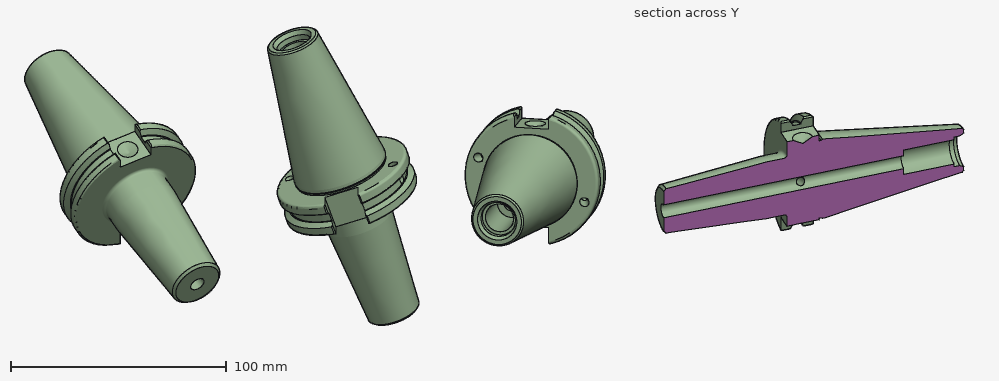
import cadquery as cq
import math

TOTAL_LENGTH = 148.2

GAUGE_X = 68.3
GAUGE_RADIUS = 22.2
TAPER_RATE = 7 / 24
TAPER_END_CHAMFER = 0.7

GAUGE_BAND_LENGTH = 1.5
NECK_RADIUS = 43.6 / 2
NECK_CHAMFER_LENGTH = 0.7

FLANGE_X = 71.3
FLANGE_END_X = 87.3
FLANGE_RADIUS = 63.6 / 2
FLANGE_FRONT_FILLET = 1.3
FLANGE_BACK_FILLET = 0.9
GROOVE_X = 79.5
GROOVE_RADIUS = 28.5
GROOVE_FLOOR_WIDTH = 4.0
GROOVE_MOUTH_WIDTH = 7.1
GROOVE_HALF_ANGLE = 30.0

NOSE_RADIUS = 32.0 / 2
NOSE_FILLET = 1.5
NOSE_CONE_X = 97.5
NOSE_END_RADIUS = 12.5
NOSE_END_CHAMFER = 1.2

BORE_DIAMETER = 7.0
TAPPING_DIAMETER = 13.3
TAPPING_DEPTH = 29.6
COUNTERBORE_DIAMETER = 16.3
COUNTERBORE_DEPTH = 4.7
MOUTH_DIAMETER = 18.7
MOUTH_DEPTH = 2.1

SLOT_WIDTH = 16.2
SLOT_CHAMFER = 0.67
TOP_SLOT_FLOOR = 24.9
BOTTOM_SLOT_FLOOR = 22.5

DIMPLE_DIAMETER = 9.5
DIMPLE_POINT_ANGLE = 120.0

INCLINED_COOLANT_DIAMETER = 4.2
RADIAL_COOLANT_DIAMETER = 4.0
COOLANT_RADIUS = 26.8
COOLANT_TILT = 20.0
COOLANT_ANGLES = (20.0, 200.0)


def turned_body():
    """Outer profile revolved about X."""
    taper_radius = GAUGE_RADIUS - GAUGE_X * TAPER_RATE / 2
    chamfer_radius = taper_radius + TAPER_END_CHAMFER * TAPER_RATE / 2
    band_end = GAUGE_X + GAUGE_BAND_LENGTH
    wall_run = (GROOVE_MOUTH_WIDTH - GROOVE_FLOOR_WIDTH) / 2
    wall_drop = wall_run / math.tan(math.radians(GROOVE_HALF_ANGLE))
    wall_radius = FLANGE_RADIUS - wall_drop
    nose_slope = (NOSE_RADIUS - NOSE_END_RADIUS) / (TOTAL_LENGTH - NOSE_CONE_X)
    nose_chamfer_radius = NOSE_END_RADIUS + NOSE_END_CHAMFER * nose_slope
    profile = (
        cq.Workplane("XY")
        .lineTo(0, taper_radius - TAPER_END_CHAMFER)
        .lineTo(TAPER_END_CHAMFER, chamfer_radius)
        .lineTo(GAUGE_X, GAUGE_RADIUS)
        .lineTo(band_end, GAUGE_RADIUS)
        .lineTo(band_end + NECK_CHAMFER_LENGTH, NECK_RADIUS)
        .lineTo(FLANGE_X, NECK_RADIUS)
        .lineTo(FLANGE_X, FLANGE_RADIUS - FLANGE_FRONT_FILLET)
        .radiusArc((FLANGE_X + FLANGE_FRONT_FILLET, FLANGE_RADIUS), FLANGE_FRONT_FILLET)
        .lineTo(GROOVE_X - GROOVE_MOUTH_WIDTH / 2, FLANGE_RADIUS)
        .lineTo(GROOVE_X - GROOVE_FLOOR_WIDTH / 2, wall_radius)
        .lineTo(GROOVE_X - GROOVE_FLOOR_WIDTH / 2, GROOVE_RADIUS)
        .lineTo(GROOVE_X + GROOVE_FLOOR_WIDTH / 2, GROOVE_RADIUS)
        .lineTo(GROOVE_X + GROOVE_FLOOR_WIDTH / 2, wall_radius)
        .lineTo(GROOVE_X + GROOVE_MOUTH_WIDTH / 2, FLANGE_RADIUS)
        .lineTo(FLANGE_END_X - FLANGE_BACK_FILLET, FLANGE_RADIUS)
        .radiusArc((FLANGE_END_X, FLANGE_RADIUS - FLANGE_BACK_FILLET), FLANGE_BACK_FILLET)
        .lineTo(FLANGE_END_X, NOSE_RADIUS + NOSE_FILLET)
        .radiusArc((FLANGE_END_X + NOSE_FILLET, NOSE_RADIUS), -NOSE_FILLET)
        .lineTo(NOSE_CONE_X, NOSE_RADIUS)
        .lineTo(TOTAL_LENGTH - NOSE_END_CHAMFER, nose_chamfer_radius)
        .lineTo(TOTAL_LENGTH, NOSE_END_RADIUS - NOSE_END_CHAMFER)
        .lineTo(TOTAL_LENGTH, 0)
        .close()
    )
    return profile.revolve(360, (0, 0, 0), (1, 0, 0))


def central_bore():
    """Through bore with threaded length, counterbore and conical mouth."""
    profile = (
        cq.Workplane("XY")
        .lineTo(0, MOUTH_DIAMETER / 2)
        .lineTo(MOUTH_DEPTH, COUNTERBORE_DIAMETER / 2)
        .lineTo(COUNTERBORE_DEPTH, COUNTERBORE_DIAMETER / 2)
        .lineTo(COUNTERBORE_DEPTH, TAPPING_DIAMETER / 2)
        .lineTo(TAPPING_DEPTH, TAPPING_DIAMETER / 2)
        .lineTo(TAPPING_DEPTH, BORE_DIAMETER / 2)
        .lineTo(TOTAL_LENGTH, BORE_DIAMETER / 2)
        .lineTo(TOTAL_LENGTH, 0)
        .close()
    )
    return profile.revolve(360, (0, 0, 0), (1, 0, 0))


def drive_slot(floor, side):
    """Slot across the flange with chamfered mouth; side is +1 for +Z and -1 for -Z."""
    half = SLOT_WIDTH / 2
    rim = math.sqrt(FLANGE_RADIUS**2 - (half + SLOT_CHAMFER) ** 2)
    chamfer_start = rim - SLOT_CHAMFER
    outside = FLANGE_RADIUS + 1.5
    flare = half + outside - chamfer_start
    outline = [
        (-half, side * floor),
        (half, side * floor),
        (half, side * chamfer_start),
        (flare, side * outside),
        (-flare, side * outside),
        (-half, side * chamfer_start),
    ]
    return (
        cq.Workplane("YZ", origin=(FLANGE_X, 0, 0))
        .polyline(outline)
        .close()
        .extrude(FLANGE_END_X - FLANGE_X)
    )


def dimple():
    """Cone sunk into the floor of the upper slot."""
    radius = DIMPLE_DIAMETER / 2
    depth = radius / math.tan(math.radians(DIMPLE_POINT_ANGLE / 2))
    return cq.Workplane(
        cq.Solid.makeCone(radius, 0, depth, cq.Vector(GROOVE_X, 0, TOP_SLOT_FLOOR), cq.Vector(0, 0, -1))
    )


def coolant_passage(angle):
    """Hole inclined inward from the flange face, meeting a radial hole from the groove to the bore."""
    inclined_radius = INCLINED_COOLANT_DIAMETER / 2
    radial_radius = RADIAL_COOLANT_DIAMETER / 2
    tilt = math.radians(COOLANT_TILT)
    outward = cq.Vector(0, math.cos(math.radians(angle)), math.sin(math.radians(angle)))
    inward_direction = cq.Vector(math.cos(tilt), 0, 0) - outward * math.sin(tilt)
    face_point = cq.Vector(FLANGE_X, 0, 0) + outward * COOLANT_RADIUS
    start = face_point - inward_direction * inclined_radius
    run_length = (GROOVE_X - FLANGE_X) / math.cos(tilt)
    inclined = cq.Solid.makeCylinder(
        inclined_radius, inclined_radius + run_length, start, inward_direction
    )
    radial = cq.Solid.makeCylinder(radial_radius, FLANGE_RADIUS, cq.Vector(GROOVE_X, 0, 0), outward)
    return cq.Workplane(inclined).union(cq.Workplane(radial))


result = turned_body().cut(central_bore())
result = result.cut(drive_slot(TOP_SLOT_FLOOR, 1))
result = result.cut(drive_slot(BOTTOM_SLOT_FLOOR, -1))
result = result.cut(dimple())
for coolant_angle in COOLANT_ANGLES:
    result = result.cut(coolant_passage(coolant_angle))